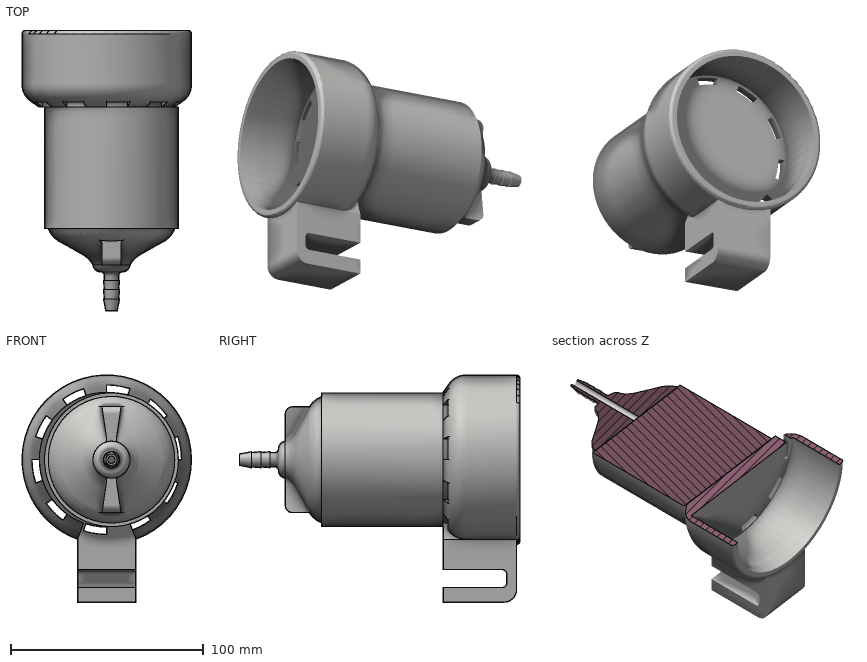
import cadquery as cq
import math


SHOULDER_START = 28.3
CONE_START = 36.7
HOUSING_LENGTH = 39.9
CANISTER_END = 103.0
DOME_END = 109.5
NECK_START = 116.7
WING_FRONT = 121.9
NECK_END = 125.4
NOZZLE_START = 127.3
BARB_STARTS = [129.8, 134.6, 139.4]
TIP = 145.7

HOUSING_RADIUS = 44.0
CONE_OUTER_RADIUS = 39.6
FACE_RADIUS = 70.0 / 2
BACK_FILLET = 1.9
CAVITY_RADIUS = 80.0 / 2
CAVITY_DEPTH = 32.0

VENT_COUNT = 10
VENT_PITCH = 360 / VENT_COUNT
VENT_ANGLE = VENT_PITCH / 2
VENT_OUTER_RADIUS = 38.7
BOTTOM_VENT = VENT_COUNT // 2

BRACKET_WIDTH = 30.3
BRACKET_BOTTOM = -74.0
BRACKET_BACK = 1.7
BRACKET_CORNER = 6.5
BRACKET_WALL = 5.2
BRACKET_FOOT = 7.7
NOTCH_HEIGHT = 9.2
NOTCH_CORNER = 2.2

CANISTER_OFFSET = 2.5
CANISTER_RADIUS = 69.5 / 2

CAP_RADIUS = 65.7 / 2
DOME_END_RADIUS = 27.2
NECK_START_RADIUS = 14.5
BOSS_RADIUS = 9.6
BOSS_END_RADIUS = 5.7
NOZZLE_RADIUS = 3.8
BARB_RADIUS = 4.2
TIP_RADIUS = 6.0 / 2
BORE_RADIUS = 3.8 / 2

WING_RADIUS = 27.5
WING_TIP_WIDTH = 9.9
WING_ROOT_WIDTH = 4.4
WING_ROOT_RADIUS = 8.7
WING_CORNER = 4.0
WING_BLEND = 1.6
WING_TRIM = 2.2


def revolve_about_y(profile):
    """Revolve an XY profile (radius, -distance) about the Y axis."""
    return profile.close().revolve(360, (0, 0, 0), (0, 1, 0))


def forward_prism(sketch_points, start, end):
    """Extrude an XZ outline from one distance forward of the back face to another."""
    plane = cq.Workplane("XZ", origin=(0, -start, 0))
    return plane.polyline(sketch_points).close().extrude(end - start)


def make_housing_drum():
    profile = (
        cq.Workplane("XY")
        .lineTo(HOUSING_RADIUS, 0)
        .lineTo(HOUSING_RADIUS, -SHOULDER_START)
        .tangentArcPoint((CONE_OUTER_RADIUS, -CONE_START), relative=False)
        .lineTo(FACE_RADIUS, -HOUSING_LENGTH)
        .lineTo(0, -HOUSING_LENGTH)
    )
    return revolve_about_y(profile).faces(">Y").edges().fillet(BACK_FILLET)


def make_bracket():
    half_width = BRACKET_WIDTH / 2
    drum_level = -math.sqrt(HOUSING_RADIUS**2 - half_width**2)
    outline = [
        (0, 0),
        (half_width, drum_level),
        (half_width, BRACKET_BOTTOM),
        (-half_width, BRACKET_BOTTOM),
        (-half_width, drum_level),
    ]
    bracket = forward_prism(outline, BRACKET_BACK, HOUSING_LENGTH)
    bracket = bracket.edges("|X and >Y and <Z").fillet(BRACKET_CORNER)

    notch_depth = HOUSING_LENGTH - BRACKET_BACK - BRACKET_WALL
    notch = (
        cq.Workplane("XY")
        .box(BRACKET_WIDTH, notch_depth, NOTCH_HEIGHT, centered=(True, False, False))
        .edges("|X and >Y")
        .fillet(NOTCH_CORNER)
        .translate((0, -HOUSING_LENGTH, BRACKET_BOTTOM + BRACKET_FOOT))
    )
    return bracket.cut(notch)


def make_vent(index):
    """One slot, running clockwise as seen from the front."""
    start = 90 - index * VENT_PITCH

    def polar(radius, fraction):
        angle = math.radians(start - fraction * VENT_ANGLE)
        return (radius * math.cos(angle), radius * math.sin(angle))

    return (
        cq.Workplane("XZ")
        .moveTo(*polar(FACE_RADIUS, 0))
        .lineTo(*polar(VENT_OUTER_RADIUS, 0))
        .threePointArc(polar(VENT_OUTER_RADIUS, 0.5), polar(VENT_OUTER_RADIUS, 1))
        .lineTo(*polar(FACE_RADIUS, 1))
        .threePointArc(polar(FACE_RADIUS, 0.5), polar(FACE_RADIUS, 0))
        .close()
        .extrude(HOUSING_LENGTH)
    )


def make_housing():
    """Vented drum, open at the back, with the bracket; only the bottom vent runs on through the bracket."""
    drum = make_housing_drum()
    for index in range(VENT_COUNT):
        drum = drum.cut(make_vent(index))
    bracket = make_bracket().cut(make_vent(BOTTOM_VENT))
    cavity = cq.Workplane("XZ").circle(CAVITY_RADIUS).extrude(CAVITY_DEPTH)
    return drum.union(bracket).cut(cavity)


def make_canister():
    return (
        cq.Workplane("XZ", origin=(CANISTER_OFFSET, -HOUSING_LENGTH, 0))
        .circle(CANISTER_RADIUS)
        .extrude(CANISTER_END - HOUSING_LENGTH)
    )


def make_winged_dome():
    """Dome, cone and neck with the two wings blended in, cut flat at the wing fronts."""
    cone_angle = math.atan2(DOME_END_RADIUS - NECK_START_RADIUS, NECK_START - DOME_END)
    neck_chord_angle = math.atan2(NECK_START_RADIUS - BOSS_RADIUS, WING_FRONT - NECK_START)
    neck_end_angle = 2 * neck_chord_angle - cone_angle
    stock_front = WING_FRONT + WING_TRIM
    stock_radius = BOSS_RADIUS - WING_TRIM * math.tan(neck_end_angle)
    profile = (
        cq.Workplane("XY")
        .moveTo(0, -stock_front)
        .lineTo(stock_radius, -stock_front)
        .lineTo(BOSS_RADIUS, -WING_FRONT)
        .tangentArcPoint((NECK_START_RADIUS, -NECK_START), relative=False)
        .lineTo(DOME_END_RADIUS, -DOME_END)
        .tangentArcPoint((CAP_RADIUS, -CANISTER_END), relative=False)
        .lineTo(0, -CANISTER_END)
    )
    wing = make_wing_stock(stock_front)
    dome = revolve_about_y(profile).union(wing).union(wing.mirror("XY"))
    for side in (1, -1):
        dome = dome.edges(wing_seams(side)).fillet(WING_BLEND)

    keep = cq.Workplane("XZ").circle(CANISTER_RADIUS).extrude(WING_FRONT)
    return dome.intersect(keep).edges("|X and <Y").edges("<Z or >Z").fillet(WING_CORNER)


def make_wing_stock(front):
    """The upper wing: a wedge that narrows towards the axis."""
    outline = [
        (-WING_ROOT_WIDTH / 2, 0),
        (-WING_ROOT_WIDTH / 2, WING_ROOT_RADIUS),
        (-WING_TIP_WIDTH / 2, WING_RADIUS),
        (WING_TIP_WIDTH / 2, WING_RADIUS),
        (WING_ROOT_WIDTH / 2, WING_ROOT_RADIUS),
        (WING_ROOT_WIDTH / 2, 0),
    ]
    return forward_prism(outline, CANISTER_END, front)


def wing_seams(side):
    """Edges along which one wing's sides meet the cone and the neck."""
    return cq.selectors.BoxSelector(
        (-WING_TIP_WIDTH, -DOME_END, side * WING_ROOT_RADIUS),
        (WING_TIP_WIDTH, -WING_FRONT - WING_TRIM / 2, side * DOME_END_RADIUS),
    )


def make_nozzle():
    """The boss ahead of the wings and the barbed hose nozzle."""
    profile = cq.Workplane("XY").moveTo(0, -TIP).lineTo(TIP_RADIUS, -TIP)
    for start in reversed(BARB_STARTS):
        profile = profile.lineTo(BARB_RADIUS, -start).lineTo(NOZZLE_RADIUS, -start)
    profile = (
        profile.lineTo(NOZZLE_RADIUS, -NOZZLE_START)
        .tangentArcPoint((BOSS_END_RADIUS, -NECK_END), relative=False)
        .tangentArcPoint((BOSS_RADIUS, -WING_FRONT), relative=False)
        .lineTo(0, -WING_FRONT)
    )
    return revolve_about_y(profile)


def make_cap():
    bore = cq.Workplane("XZ", origin=(0, -CANISTER_END, 0)).circle(BORE_RADIUS).extrude(TIP - CANISTER_END)
    return make_winged_dome().union(make_nozzle()).cut(bore).translate((CANISTER_OFFSET, 0, 0))


housing = make_housing()
canister = make_canister()
cap = make_cap()

result = cq.Compound.makeCompound([housing.val(), canister.val(), cap.val()])